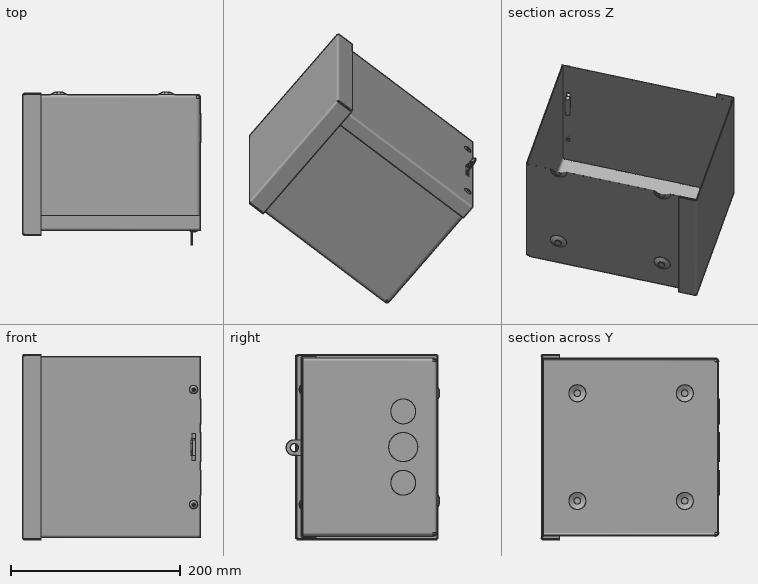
import cadquery as cq
import math


sheet = 1.5
bend = 2.6
tub_bend = 4.4

cover_height = 213.5
cover_flange = 18.0
end_x = 209.6

hood_height = 219
hood_depth = 22.0
hood_front = -6.0
hood_back = 162.1

tub_height = cover_height - 2 * sheet
tub_back = hood_back - sheet

back_end = 163.6
dimple_base_d = 20.2
dimple_top_d = 7.9
dimple_rise = back_end - tub_back
dimple_x = (42.7, 169.5)
dimple_z = 63.5

knockout_y = 121.0
knockout_pitch = 42.0
knockout_rise = 0.7
centre_knockout_d = 34.5
side_knockout_d = 29.4

hardware_x = 201.8
screw_z = 68.0
head_d = 9.9
head_rise = 2.0
shank_d = 4.2
shank_length = 3.3
recess_span = 4.2
recess_width = 1.3
recess_depth = 1.0

slot_width = 4.0
slot_height = 31.5
loop_x = 199.0
loop_thickness = 1.5
loop_z = -0.7
loop_width = 18.5
loop_reach = 17.3
loop_hole_d = 9.5
loop_hole_y = -7.5

pin_d = 5.7
pin_top = 10.3
pin_length = 28.5


def block(x_range, y_range, z_range):
    """Rectangular block spanning the given (low, high) ranges."""
    size = [high - low for low, high in (x_range, y_range, z_range)]
    corner = (x_range[0], y_range[0], z_range[0])
    return cq.Workplane("XY").box(*size, centered=False).translate(corner)


def spread(height):
    """Range of the given height, centred on Z = 0."""
    return (-height / 2, height / 2)


def tub_form(inset):
    """Tub envelope moved inwards by inset; open sides toward -X and -Y are plain faces."""
    extents = ((bend, end_x - inset), (bend, tub_back - inset), spread(tub_height - 2 * inset))
    back_bends = block(*extents).edges(">Y and |X").fillet(tub_bend - inset)
    end_bends = block(*extents).edges(">X and |Y").fillet(tub_bend - inset)
    rear_corner = block(*extents).edges(">X and >Y").fillet(bend - inset)
    return back_bends.intersect(end_bends).intersect(rear_corner)


def dimple_form(base_y):
    """Cones of all four mounting dimples, standing on the plane Y = base_y."""
    base_r = dimple_base_d / 2
    top_r = dimple_top_d / 2
    cones = cq.Workplane("XY")
    for x in dimple_x:
        for z in (-dimple_z, dimple_z):
            cone = cq.Solid.makeCone(
                base_r, top_r, dimple_rise, cq.Vector(x, base_y, z), cq.Vector(0, 1, 0)
            )
            cones = cones.add(cone)
    return cones


def disc_x(diameter, thickness, x, y, z):
    """Disc with its axis along +X, starting at the given centre."""
    return cq.Workplane("YZ", origin=(x, y, z)).circle(diameter / 2).extrude(thickness)


def make_tub():
    tub = tub_form(0)
    for cone in dimple_form(tub_back).vals():
        tub = tub.union(cq.Workplane(cone))
    tub = tub.cut(tub_form(sheet))
    for cone in dimple_form(tub_back - sheet).vals():
        tub = tub.cut(cq.Workplane(cone))

    tub_top = tub_height / 2
    relief = block(
        (end_x - tub_bend, end_x), (tub_back - tub_bend, tub_back), (tub_top - tub_bend, tub_top)
    )
    tub = tub.cut(relief).cut(relief.mirror("XY"))

    for step, diameter in ((-1, side_knockout_d), (0, centre_knockout_d), (1, side_knockout_d)):
        tub = tub.union(disc_x(diameter, knockout_rise, end_x, knockout_y, step * knockout_pitch))
    return tub


def cover_form(inset):
    """Cover envelope moved inwards by inset on the front and at top and bottom."""
    form = block((bend, end_x), (inset, cover_flange), spread(cover_height - 2 * inset))
    return form.edges("<Y and |X").fillet(bend - inset)


def make_cover(hasp):
    slot = block(
        (hardware_x - slot_width / 2, hardware_x + slot_width / 2), (0, sheet), spread(slot_height)
    )
    cover = cover_form(0).cut(cover_form(sheet)).cut(slot).cut(hasp)
    for z in (-screw_z, screw_z):
        hole = cq.Workplane("XZ", origin=(hardware_x, 0, z)).circle(shank_d / 2).extrude(-sheet)
        cover = cover.cut(hole)
    return cover


def hood_form(inset):
    """Hood envelope moved inwards by inset on all sides but the open one."""
    form = block(
        (inset, hood_depth), (hood_front + inset, hood_back - inset), spread(hood_height - 2 * inset)
    )
    return form.edges("<X").fillet(bend - inset)


def make_hood():
    hood = hood_form(0).cut(hood_form(sheet))
    for y in (hood_front, hood_back - sheet):
        for z in (-hood_height / 2, hood_height / 2 - sheet):
            hood = hood.cut(block((0, hood_depth), (y, y + sheet), (z, z + sheet)))
    return hood


def make_hasp():
    """Round-ended loop standing out of the cover, with a foot that lies in the slot."""
    half = loop_width / 2
    arc_y = half - loop_reach
    loop = (
        cq.Workplane("YZ", origin=(loop_x, 0, loop_z))
        .moveTo(sheet, -half)
        .lineTo(arc_y, -half)
        .threePointArc((-loop_reach, 0), (arc_y, half))
        .lineTo(sheet, half)
        .close()
        .extrude(loop_thickness)
    )
    loop = loop.cut(disc_x(loop_hole_d, loop_thickness, loop_x, loop_hole_y, loop_z))
    foot = block(
        (loop_x, hardware_x + slot_width / 2), (0, sheet), (loop_z - half, loop_z + half)
    )
    return loop.union(foot)


def make_pin():
    """Upright pin that rests against the inner face of the cover, behind the slot."""
    start = (hardware_x, sheet + pin_d / 2, pin_top - pin_length)
    return cq.Workplane("XY", origin=start).circle(pin_d / 2).extrude(pin_length)


def make_screw(z):
    """Domed cross-recess screw with a shank through the cover."""
    head_r = head_d / 2
    dome_r = (head_r**2 + head_rise**2) / (2 * head_rise)
    half_angle = math.asin(head_r / dome_r) / 2
    mid_arc = (dome_r * math.sin(half_angle), dome_r * (1 - math.cos(half_angle)) - head_rise)
    screw = (
        cq.Workplane("XY")
        .moveTo(0, -head_rise)
        .threePointArc(mid_arc, (head_r, 0))
        .lineTo(shank_d / 2, 0)
        .lineTo(shank_d / 2, shank_length)
        .lineTo(0, shank_length)
        .close()
        .revolve(360, (0, 0, 0), (0, 1, 0))
    )
    arms = ((recess_span, recess_width), (recess_width, recess_span))
    for width, height in arms:
        arm = cq.Workplane("XZ", origin=(0, -head_rise, 0)).rect(width, height).extrude(-recess_depth)
        screw = screw.cut(arm)
    return screw.translate((hardware_x, 0, z))


tub = make_tub()
hasp = make_hasp()
cover = make_cover(hasp)
hood = make_hood()
pin = make_pin()
screws = [make_screw(z) for z in (-screw_z, screw_z)]

result = cq.Compound.makeCompound(
    [tub.val(), cover.val(), hood.val(), hasp.val(), pin.val(), *[screw.val() for screw in screws]]
)